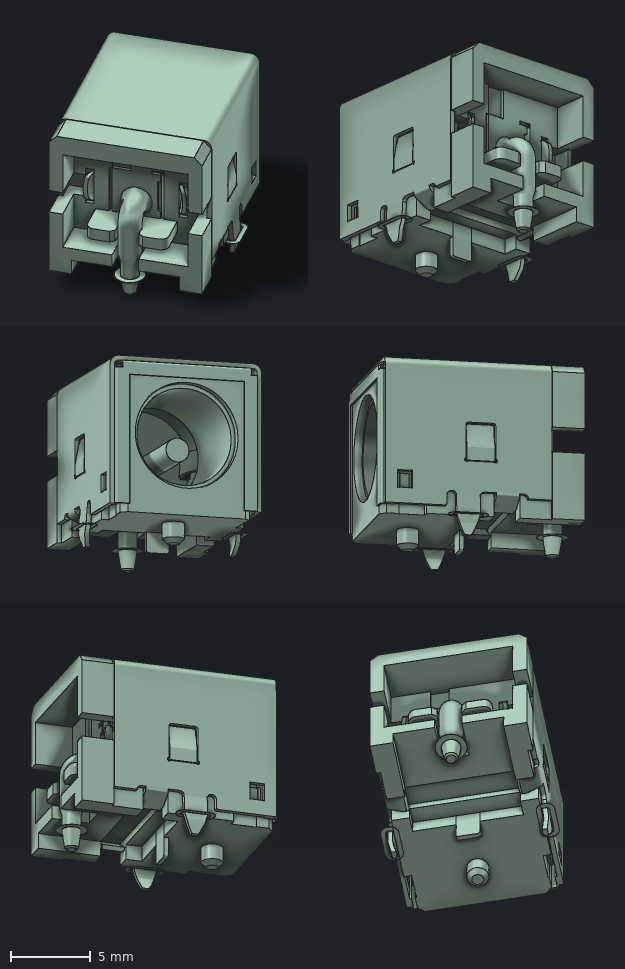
import cadquery as cq
import math


WIDTH = 10.01
HEIGHT = 10.0
LENGTH = 13.1
BELOW_BOARD = 1.31
SHEET = 0.31
HALF = WIDTH / 2
INNER_HALF = HALF - SHEET
INNER_TOP = HEIGHT - SHEET

BLOCK_DEPTH = 2.1
BLOCK_CHAMFER = 0.52
POCKET_HALF = 4.09
POCKET_BOTTOM = 1.87
POCKET_TOP = 8.7
WALL_Y = 2.46
RECESS_HALF = 3.52
RECESS_HEIGHT = 1.0

SHELL_GAP = 0.05
SHELL_FRONT = BLOCK_DEPTH + SHELL_GAP
SHELL_REAR = 12.84
SHELL_RADIUS = 0.6
SHELL_BOTTOM_REAR = 0.52
SHELL_BOTTOM_FRONT = 1.19
SHELL_CORNER_RADIUS = 0.13
RELIEF_TOP = 1.48
RELIEF_RADIUS = 0.3
FRONT_RELIEF = 3.64
LEG_FRONT = 6.75
LEG_REAR = 8.27
LEG_CENTER = (LEG_FRONT + LEG_REAR) / 2
LEG_BULGE = 5.12
NOTCH_FRONT = 4.14
NOTCH_REAR = 5.79
TAB_CLEARANCE = 0.08
TAB_ROOT = 0.26
WINDOW_FRONT = 5.75
WINDOW_REAR = 7.65
WINDOW_BOTTOM = 3.43
WINDOW_TOP = 5.93
WINDOW_RADIUS = 0.18
CORNER_RELIEF_RADIUS = 0.1
CORNER_RELIEF_RISE = 0.08
LATCH_CLEARANCE = 0.05
LATCH_KNEE = 4.32
LATCH_TOP_INSET = 0.29
PEEK_FRONT = 11.08
PEEK_REAR = 12.05
PEEK_BOTTOM = 1.52
PEEK_TOP = 2.65
BOSS_CLEARANCE = 0.08
BOSS_LOW_HALF = 4.38
BOSS_HIGH_HALF = 4.48
LIP = 0.12
LIP_START = 12.18
LIP_RADIUS = 0.22
LIP_WIDTH = 0.92
TOP_LIP_HALF = 4.22
SIDE_LIP_TOP = 9.2

CORE_REAR = LENGTH - LIP
CORE_STEP = 10.13
CORE_STEP_HALF = 4.19
CORE_LAND = 11.79
CORE_LAND_HALF = 4.27
CORE_CHAMFER_START = 12.6
CORE_END_HALF = 3.86
CORE_REAR_TOP = 9.5
CORE_END_TOP = 8.91

AXIS_Z = 5.11
SLEEVE_OUTER = 3.38
SLEEVE_INNER = 3.1
MOUTH_FRONT = 3.15
SLEEVE_FRONT = 5.74
SLEEVE_REAR = 12.45
FINGER_TIP = 2.12
FINGER_DIP = 2.67
FINGER_HEAD_REAR = 2.69
FINGER_HEAD_RADIUS = 0.39
FINGER_HEAD_HALF_HEIGHT = 1.0
FINGER_NECK_HALF_HEIGHT = 0.65
FINGER_SLOT_INNER = 2.78
FINGER_SLOT_OUTER = 3.31
FINGER_SLOT_DEPTH = 2.75
FINGER_SLOT_HALF_HEIGHT = 1.26
SIDE_SLOT_HALF_HEIGHT = 0.79
SIDE_SLOT_DEPTH = 3.4
BLADE_WIDTH = 1.52
BLADE_FRONT = 6.84
BLADE_THICKNESS = 0.3
BLADE_RADIUS = 0.16
BLADE_TOP = 1.9

TONGUE_HALF = 2.66
TONGUE_BOTTOM = 2.71
TONGUE_TOP = 3.5
TONGUE_FRONT = 0.13
TONGUE_RADIUS = 0.52
TONGUE_GAP_HALF = 0.77
TONGUE_CHAMFER_X = 0.31
TONGUE_CHAMFER_Y = 0.24
PIN_SLOT_HALF = 0.86
PEEP_BOTTOM = 2.23
PEEP_TOP = 2.46
GROOVE_DEPTH = 0.24

PIN_RADIUS = 0.76
PIN_Y = 1.0
PIN_AXIS_Z = 4.52
PIN_BEND = 0.92
PIN_FLARE = 1.02
PIN_REAR = 11.14
PIN_STEM_END = 1.52
PIN_NECK_TOP = 1.0
PIN_NECK_RADIUS = 0.6
PIN_TAPER_TOP = -0.13
PIN_TIP_RADIUS = 0.43
PIN_TIP_CHAMFER = 0.12

PEG_Y = 10.28
PEG_RADIUS = 0.7
PEG_CHAMFER = 0.31
PAD = 0.01
PAD_SPAN = 11.1
PAD_OUTER = PAD_SPAN / 2
PAD_INNER_HALF = 4.38
PAD_BAND = 0.33
PIN_PAD_RADIUS = 1.0


def block(x0, x1, y0, y1, z0, z1):
    """Box between two opposite corners."""
    return cq.Workplane("XY").box(x1 - x0, y1 - y0, z1 - z0, centered=False).translate((x0, y0, z0))


def both_sides(x0, x1, y0, y1, z0, z1):
    """A box and its mirror image across the plane X = 0."""
    box = block(x0, x1, y0, y1, z0, z1)
    return box.union(box.mirror("YZ"))


def along_y(sketch, y0, y1):
    """Extrude an XZ sketch, drawn on the XZ workplane, from y0 to y1."""
    return sketch.extrude(-(y1 - y0)).translate((0, y0, 0))


def across_x(sketch, x0, x1):
    """Extrude a YZ sketch from x0 to x1."""
    return sketch.extrude(x1 - x0).translate((x0, 0, 0))


def arch(half, top, radius, y0, y1):
    """Bar standing on the board whose two long top edges are rounded."""
    bar = block(-half, half, y0, y1, 0, top)
    return bar.edges("|Y and >Z").fillet(radius)


def cylinder_y(radius, y0, y1, z):
    return along_y(cq.Workplane("XZ").center(0, z).circle(radius), y0, y1)


def shell_lower_cut():
    """Everything removed along the lower edge of the shell sides."""
    rear = LEG_REAR + 2 * RELIEF_RADIUS
    low = block(-HALF, HALF, 0, LENGTH, 0, SHELL_BOTTOM_REAR)
    front = block(-HALF, HALF, 0, LEG_REAR, 0, SHELL_BOTTOM_FRONT)
    rear_relief = block(-HALF, HALF, LEG_REAR, rear, 0, RELIEF_TOP - RELIEF_RADIUS)
    relief_arc = cq.Workplane("YZ").center(LEG_REAR + RELIEF_RADIUS, RELIEF_TOP - RELIEF_RADIUS)
    rear_relief = rear_relief.union(across_x(relief_arc.circle(RELIEF_RADIUS), -HALF, HALF))
    middle_relief = block(-HALF, HALF, FRONT_RELIEF, LEG_FRONT, 0, RELIEF_TOP)
    middle_relief = middle_relief.edges("|X and >Z").fillet(RELIEF_RADIUS)
    cut = low.union(front).union(rear_relief).union(middle_relief)
    corner = cq.selectors.NearestToPointSelector((0, rear, SHELL_BOTTOM_REAR))
    return cut.edges(corner).fillet(SHELL_CORNER_RADIUS)


def latch_windows():
    window = block(-HALF, HALF, WINDOW_FRONT, WINDOW_REAR, WINDOW_BOTTOM, WINDOW_TOP)
    window = window.edges("|X and >Z").fillet(WINDOW_RADIUS)
    for y in (WINDOW_FRONT, WINDOW_REAR):
        relief = cq.Workplane("YZ").center(y, WINDOW_BOTTOM + CORNER_RELIEF_RISE).circle(CORNER_RELIEF_RADIUS)
        window = window.union(across_x(relief, -HALF, HALF))
    return window


def leg():
    """Left solder leg: bulges outward, then bends in under the board and tapers to a tip."""
    tip = 4.96
    upper_bend, lower_bend = -0.39, -0.6
    bent = (
        cq.Workplane("XZ")
        .polyline([
            (-HALF, RELIEF_TOP), (-HALF, SHELL_BOTTOM_FRONT),
            (-LEG_BULGE, upper_bend), (-LEG_BULGE, lower_bend), (-tip, -BELOW_BOARD),
            (SHEET - tip, -BELOW_BOARD), (SHEET - LEG_BULGE, lower_bend),
            (SHEET - LEG_BULGE, upper_bend),
            (-INNER_HALF, SHELL_BOTTOM_FRONT), (-INNER_HALF, RELIEF_TOP),
        ])
        .close()
    )
    tip_half = 0.24
    flank_inset, flank_z = 0.21, -0.65
    outline = (
        cq.Workplane("YZ")
        .moveTo(LEG_FRONT, RELIEF_TOP)
        .lineTo(LEG_FRONT, 0)
        .threePointArc((LEG_FRONT + flank_inset, flank_z), (LEG_CENTER - tip_half, -BELOW_BOARD))
        .lineTo(LEG_CENTER + tip_half, -BELOW_BOARD)
        .threePointArc((LEG_REAR - flank_inset, flank_z), (LEG_REAR, 0))
        .lineTo(LEG_REAR, RELIEF_TOP)
        .close()
    )
    return along_y(bent, LEG_FRONT, LEG_REAR).intersect(across_x(outline, -HALF - SHEET, 0))


def folded_tab():
    """Left tab folded inward from the shell edge and sloping down into the housing cross slot."""
    end_x, end_z = -3.67, 0.52
    knee_z = 1.09
    bend_sag, rise_to_bend = 0.08, 0.16
    end_radius = 0.21
    rise = 0.28
    run = 0.16
    profile = (
        cq.Workplane("XZ")
        .moveTo(-HALF, RELIEF_TOP + TAB_ROOT)
        .lineTo(-HALF, RELIEF_TOP)
        .threePointArc((-HALF + bend_sag, knee_z + rise_to_bend), (-INNER_HALF, knee_z))
        .lineTo(end_x, end_z)
        .lineTo(end_x + run, end_z + rise)
        .lineTo(-INNER_HALF + run, knee_z + rise)
        .lineTo(-INNER_HALF, RELIEF_TOP)
        .lineTo(-INNER_HALF, RELIEF_TOP + TAB_ROOT)
        .close()
    )
    y0, y1 = NOTCH_FRONT + TAB_CLEARANCE, NOTCH_REAR - TAB_CLEARANCE
    outline = block(-HALF, 0, y0, y1, end_z, RELIEF_TOP + TAB_ROOT)
    outline = outline.edges("|X and <Z").fillet(end_radius)
    return along_y(profile, y0, y1).intersect(outline)


def lip_profile(plane, wall, inward):
    """Thin strip that leaves the shell along its inner face and bends inward over the mouth.

    `wall` is the coordinate of that inner face, `inward` the sign of the inward direction.
    """
    inner_radius = LIP_RADIUS - LIP
    bend_y = LENGTH - LIP_RADIUS
    diagonal = math.sqrt(0.5)
    center = wall + inward * LIP_RADIUS

    def place(across, y):
        return (across, y) if plane == "XY" else (y, across)

    def on_bend(radius):
        return place(center - inward * diagonal * radius, bend_y + diagonal * radius)

    outside = wall - inward * LIP
    return (
        cq.Workplane(plane)
        .moveTo(*place(outside, LIP_START))
        .lineTo(*place(outside, SHELL_REAR))
        .lineTo(*place(wall, SHELL_REAR))
        .lineTo(*place(wall, bend_y))
        .threePointArc(on_bend(LIP_RADIUS), place(center, LENGTH))
        .lineTo(*place(wall + inward * LIP_WIDTH, LENGTH))
        .lineTo(*place(wall + inward * LIP_WIDTH, LENGTH - LIP))
        .lineTo(*place(center, LENGTH - LIP))
        .threePointArc(on_bend(inner_radius), place(wall + inward * LIP, bend_y))
        .lineTo(*place(wall + inward * LIP, LIP_START))
        .close()
    )


def make_shell():
    shell = arch(HALF, HEIGHT, SHELL_RADIUS, SHELL_FRONT, SHELL_REAR)
    shell = shell.cut(arch(INNER_HALF, INNER_TOP, SHELL_RADIUS - SHEET, SHELL_FRONT, SHELL_REAR))
    shell = shell.cut(shell_lower_cut())
    shell = shell.cut(latch_windows())
    shell = shell.cut(block(-HALF, HALF, PEEK_FRONT, PEEK_REAR, PEEK_BOTTOM, PEEK_TOP))
    side_lip = lip_profile("XY", -INNER_HALF, 1).extrude(SIDE_LIP_TOP - SHELL_BOTTOM_REAR)
    side_lip = side_lip.translate((0, 0, SHELL_BOTTOM_REAR))
    for feature in (leg(), folded_tab(), side_lip):
        shell = shell.union(feature).union(feature.mirror("YZ"))
    return shell.union(across_x(lip_profile("YZ", INNER_TOP, -1), -TOP_LIP_HALF, TOP_LIP_HALF))


def finger_bar(y0, y1, half_height):
    """Bar across both fingers, used to trim them to their height."""
    return block(-SLEEVE_OUTER, SLEEVE_OUTER, y0, y1, AXIS_Z - half_height, AXIS_Z + half_height)


def fingers():
    """Two spring fingers that dip toward the axis, flare out again and end in a wide head."""
    wall = SLEEVE_OUTER - SLEEVE_INNER
    dip_y = (FINGER_TIP + SLEEVE_FRONT) / 2
    ring = (
        cq.Workplane("XY")
        .moveTo(SLEEVE_INNER, FINGER_TIP)
        .threePointArc((FINGER_DIP, dip_y), (SLEEVE_INNER, SLEEVE_FRONT))
        .lineTo(SLEEVE_OUTER, SLEEVE_FRONT)
        .threePointArc((FINGER_DIP + wall, dip_y), (SLEEVE_OUTER, FINGER_TIP))
        .close()
        .revolve(360, (0, 0, 0), (0, 1, 0))
        .translate((0, 0, AXIS_Z))
    )
    head = finger_bar(FINGER_TIP, FINGER_HEAD_REAR, FINGER_HEAD_HALF_HEIGHT)
    head = head.edges("|X and <Y").fillet(FINGER_HEAD_RADIUS)
    neck = finger_bar(FINGER_HEAD_REAR, SLEEVE_FRONT, FINGER_NECK_HALF_HEIGHT)
    return ring.intersect(head.union(neck))


def make_contact():
    """Round sleeve with two fingers toward the front and one solder blade."""
    sleeve = cylinder_y(SLEEVE_OUTER, SLEEVE_FRONT, SLEEVE_REAR, AXIS_Z)
    sleeve = sleeve.cut(cylinder_y(SLEEVE_INNER, SLEEVE_FRONT, SLEEVE_REAR, AXIS_Z))
    blade = block(
        -BLADE_WIDTH / 2, BLADE_WIDTH / 2, BLADE_FRONT, BLADE_FRONT + BLADE_THICKNESS,
        -BELOW_BOARD, BLADE_TOP,
    )
    blade = blade.edges("|Y and <Z").fillet(BLADE_RADIUS)
    return sleeve.union(fingers()).union(blade)


def make_pin():
    """Pin that leaves the wall, flares, bends down and steps to a tapered tip; it carries a thin pad."""
    bend_y = PIN_Y + PIN_BEND
    stem_top = PIN_AXIS_Z - PIN_BEND
    diagonal = PIN_BEND * math.sqrt(0.5)
    path = (
        cq.Workplane("YZ")
        .moveTo(PIN_Y, stem_top)
        .threePointArc((bend_y - diagonal, stem_top + diagonal), (bend_y, PIN_AXIS_Z))
    )
    elbow = cq.Workplane("XY", origin=(0, PIN_Y, stem_top)).circle(PIN_RADIUS).sweep(path)
    growth = PIN_FLARE - PIN_RADIUS
    flare_length = WALL_Y - bend_y
    flare_radius = (growth**2 + flare_length**2) / (2 * growth)
    flare = (
        cq.Workplane("XY")
        .moveTo(0, bend_y)
        .lineTo(PIN_RADIUS, bend_y)
        .radiusArc((PIN_FLARE, WALL_Y), flare_radius)
        .lineTo(0, WALL_Y)
        .close()
        .revolve(360, (0, 0, 0), (0, 1, 0))
        .translate((0, 0, PIN_AXIS_Z))
    )
    stem = (
        cq.Workplane("XZ")
        .polyline([
            (0, stem_top), (PIN_RADIUS, stem_top), (PIN_RADIUS, PIN_STEM_END),
            (PIN_NECK_RADIUS, PIN_NECK_TOP), (PIN_NECK_RADIUS, 0),
            (PIN_PAD_RADIUS, 0), (PIN_PAD_RADIUS, -PAD), (PIN_NECK_RADIUS, -PAD),
            (PIN_NECK_RADIUS, PIN_TAPER_TOP),
            (PIN_TIP_RADIUS, PIN_TIP_CHAMFER - BELOW_BOARD),
            (PIN_TIP_RADIUS - PIN_TIP_CHAMFER, -BELOW_BOARD), (0, -BELOW_BOARD),
        ])
        .close()
        .revolve(360, (0, 0, 0), (0, 1, 0))
        .translate((0, PIN_Y, 0))
    )
    return stem.union(elbow).union(flare).union(cylinder_y(PIN_RADIUS, WALL_Y, PIN_REAR, PIN_AXIS_Z))


def housing_core():
    """Part inside the shell, stepped in and chamfered toward the mouth."""
    half_plan = [
        (INNER_HALF, BLOCK_DEPTH), (INNER_HALF, CORE_STEP), (CORE_STEP_HALF, CORE_STEP),
        (CORE_STEP_HALF, CORE_LAND), (CORE_LAND_HALF, CORE_LAND),
        (CORE_LAND_HALF, CORE_CHAMFER_START), (CORE_END_HALF, CORE_REAR),
    ]
    mirrored = [(-x, y) for x, y in reversed(half_plan)]
    plan = cq.Workplane("XY").polyline(half_plan + mirrored).close().extrude(INNER_TOP)
    side = (
        cq.Workplane("YZ")
        .polyline([
            (BLOCK_DEPTH, 0), (CORE_REAR, 0), (CORE_REAR, CORE_END_TOP),
            (CORE_CHAMFER_START, CORE_REAR_TOP), (CORE_LAND, CORE_REAR_TOP),
            (CORE_LAND, INNER_TOP), (BLOCK_DEPTH, INNER_TOP),
        ])
        .close()
    )
    section = arch(INNER_HALF, INNER_TOP, SHELL_RADIUS - SHEET, BLOCK_DEPTH, CORE_REAR)
    return section.intersect(plan).intersect(across_x(side, -HALF, HALF))


def front_block():
    body = block(-HALF, HALF, 0, BLOCK_DEPTH, 0, HEIGHT)
    return body.edges("|Y and >Z").chamfer(BLOCK_CHAMFER)


def tongue():
    """Shelf split at the front by a rounded gap for the pin; outer corners rounded, inner ones chamfered."""
    half_plan = (
        cq.Workplane("XY")
        .moveTo(0, WALL_Y)
        .lineTo(0, PIN_Y + TONGUE_GAP_HALF)
        .radiusArc((TONGUE_GAP_HALF, PIN_Y), TONGUE_GAP_HALF)
        .lineTo(TONGUE_GAP_HALF, TONGUE_FRONT + TONGUE_CHAMFER_Y)
        .lineTo(TONGUE_GAP_HALF + TONGUE_CHAMFER_X, TONGUE_FRONT)
        .lineTo(TONGUE_HALF - TONGUE_RADIUS, TONGUE_FRONT)
        .radiusArc((TONGUE_HALF, TONGUE_FRONT + TONGUE_RADIUS), -TONGUE_RADIUS)
        .lineTo(TONGUE_HALF, WALL_Y)
        .close()
    )
    right = half_plan.extrude(TONGUE_TOP - TONGUE_BOTTOM).translate((0, 0, TONGUE_BOTTOM))
    return right.union(right.mirror("YZ"))


def wall_grooves():
    """Shallow recesses and the L-shaped groove with sloped outer sides in the inner wall."""
    floor = WALL_Y + GROOVE_DEPTH
    left_x, groove_width, upper_right_x = -1.6, 0.2, -0.39
    right_x, slope_width = 1.81, 0.24
    corner_z, groove_top = 6.94, 6.71
    crossbar_left = 1.0
    notch_left, notch_bottom, notch_top, notch_chamfer = 1.36, 4.03, 6.2, 0.09
    upper = block(left_x, upper_right_x, WALL_Y, floor, groove_top, POCKET_TOP)
    left = block(left_x - groove_width, left_x, WALL_Y, floor, TONGUE_TOP, groove_top)
    upright = (
        cq.Workplane("XY")
        .polyline([(right_x, WALL_Y), (right_x - slope_width, WALL_Y), (right_x - slope_width, floor)])
        .close()
        .extrude(corner_z - TONGUE_TOP)
        .translate((0, 0, TONGUE_TOP))
    )
    crossbar = (
        cq.Workplane("YZ")
        .polyline([(WALL_Y, corner_z), (WALL_Y, groove_top), (floor, groove_top)])
        .close()
    )
    crossbar = across_x(crossbar, crossbar_left, right_x)
    notch = block(notch_left, right_x - slope_width, WALL_Y, floor, notch_bottom, notch_top)
    notch = notch.edges("|Y and <X").chamfer(notch_chamfer)
    return upper.union(left).union(upright).union(crossbar).union(notch)


def latch():
    """Left wedge that snaps into the shell window: flush below, ramped inward above the knee."""
    ramp_top = WINDOW_TOP - LATCH_CLEARANCE
    bottom = WINDOW_BOTTOM + LATCH_CLEARANCE
    profile = (
        cq.Workplane("XZ")
        .polyline([
            (-INNER_HALF, bottom), (-HALF, bottom), (-HALF, LATCH_KNEE),
            (LATCH_TOP_INSET - HALF, ramp_top), (-INNER_HALF, ramp_top),
        ])
        .close()
    )
    wedge = along_y(profile, WINDOW_FRONT + LATCH_CLEARANCE, WINDOW_REAR - LATCH_CLEARANCE)
    return wedge.edges("|X and >Z").fillet(WINDOW_RADIUS - LATCH_CLEARANCE)


def window_boss():
    """Left stepped boss inside the small rear window of the shell."""
    bottom, top = PEEK_BOTTOM + BOSS_CLEARANCE, PEEK_TOP - BOSS_CLEARANCE
    low = block(-BOSS_LOW_HALF, 0, PEEK_FRONT + BOSS_CLEARANCE, CORE_LAND, bottom, top)
    high = block(-BOSS_HIGH_HALF, 0, CORE_LAND, PEEK_REAR - BOSS_CLEARANCE, bottom, top)
    return low.union(high).cut(cylinder_y(SLEEVE_OUTER, MOUTH_FRONT, LENGTH, AXIS_Z))


def leg_pad():
    """Thin racetrack pad around the left leg at board level, joined to the housing underside."""
    width = PAD_OUTER - PAD_INNER_HALF
    margin = 0.51
    length = LEG_REAR - LEG_FRONT + 2 * margin
    outer = cq.Workplane("XY").rect(width, length).extrude(PAD).edges("|Z").fillet(margin)
    opening = cq.Workplane("XY").rect(width - 2 * PAD_BAND, length - 2 * PAD_BAND).extrude(PAD)
    opening = opening.edges("|Z").fillet(margin - PAD_BAND)
    return outer.cut(opening).translate((-(PAD_OUTER + PAD_INNER_HALF) / 2, LEG_CENTER, -PAD))


def peg():
    body = cq.Workplane("XY").circle(PEG_RADIUS).extrude(-BELOW_BOARD)
    return body.faces("<Z").chamfer(PEG_CHAMFER).translate((0, PEG_Y, 0))


def make_housing(contact, pin):
    housing = front_block().union(housing_core())
    housing = housing.cut(block(-POCKET_HALF, POCKET_HALF, 0, WALL_Y, POCKET_BOTTOM, POCKET_TOP))
    housing = housing.union(tongue())
    housing = housing.cut(block(-RECESS_HALF, RECESS_HALF, 0, BLADE_FRONT, 0, RECESS_HEIGHT))
    housing = housing.cut(block(-PIN_SLOT_HALF, PIN_SLOT_HALF, 0, WALL_Y, 0, TONGUE_BOTTOM))
    housing = housing.cut(wall_grooves())
    housing = housing.cut(cylinder_y(SLEEVE_OUTER, MOUTH_FRONT, LENGTH, AXIS_Z))
    housing = housing.cut(block(-PIN_SLOT_HALF, PIN_SLOT_HALF, WALL_Y, MOUTH_FRONT, PEEP_BOTTOM, PEEP_TOP))
    housing = housing.cut(both_sides(
        FINGER_SLOT_INNER, FINGER_SLOT_OUTER, WALL_Y, FINGER_SLOT_DEPTH,
        AXIS_Z - FINGER_SLOT_HALF_HEIGHT, AXIS_Z + FINGER_SLOT_HALF_HEIGHT,
    ))
    housing = housing.cut(both_sides(
        FINGER_SLOT_INNER, HALF, WALL_Y, SIDE_SLOT_DEPTH,
        AXIS_Z - SIDE_SLOT_HALF_HEIGHT, AXIS_Z + SIDE_SLOT_HALF_HEIGHT,
    ))
    housing = housing.cut(both_sides(
        POCKET_HALF, HALF, 0, WALL_Y,
        AXIS_Z - SIDE_SLOT_HALF_HEIGHT, AXIS_Z + SIDE_SLOT_HALF_HEIGHT,
    ))
    housing = housing.cut(block(-HALF, HALF, NOTCH_FRONT, NOTCH_REAR, 0, RELIEF_TOP))
    for feature in (latch(), window_boss(), leg_pad()):
        housing = housing.union(feature).union(feature.mirror("YZ"))
    return housing.union(peg()).cut(contact).cut(pin)


shell = make_shell()
contact = make_contact()
pin = make_pin()
housing = make_housing(contact, pin)

bodies = (housing, shell, contact, pin)
result = cq.Compound.makeCompound([body.solids().val() for body in bodies])